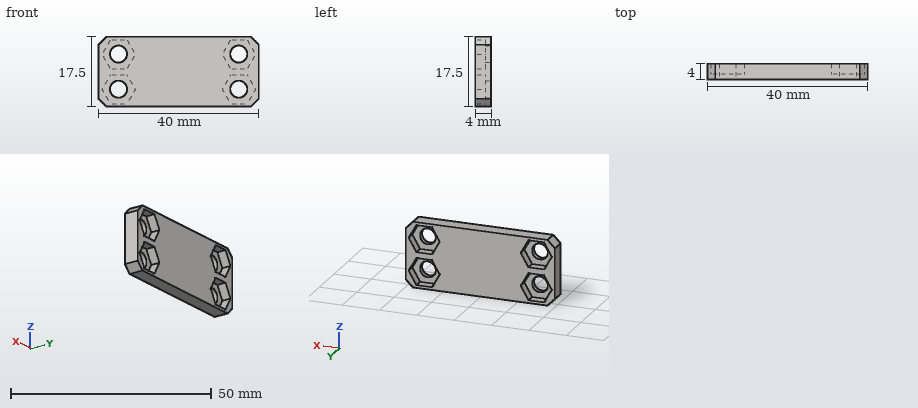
import cadquery as cq
import math

length = 40.0
thickness = 4.0
height = 17.5
corner_chamfer = 2.0

hole_diameter = 4.2
hole_spacing_x = 30.0
hole_spacing_z = height / 2

nut_across_flats = 7.2
nut_across_corners = nut_across_flats / math.cos(math.pi / 6)
pocket_depth = 2.5

plate = cq.Workplane("XY").box(length, thickness, height).edges("|Y").chamfer(corner_chamfer)

drilled = (
    plate.faces("<Y")
    .workplane(centerOption="CenterOfBoundBox")
    .rarray(hole_spacing_x, hole_spacing_z, 2, 2)
    .hole(hole_diameter)
)

result = (
    drilled.faces(">Y")
    .workplane(centerOption="CenterOfBoundBox")
    .rarray(hole_spacing_x, hole_spacing_z, 2, 2)
    .polygon(6, nut_across_corners)
    .cutBlind(-pocket_depth)
)